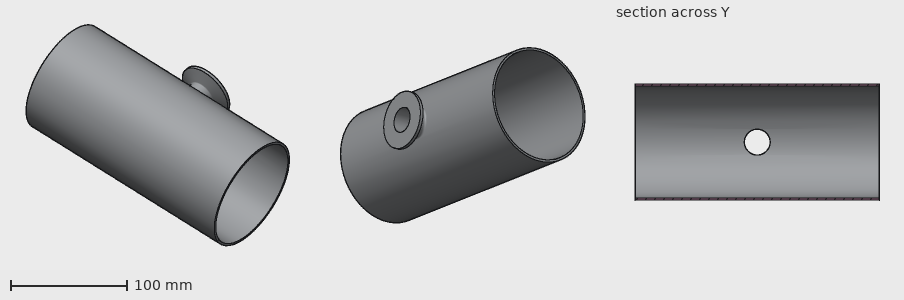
import cadquery as cq
import math

tube_length = 209.5
tube_outer_diameter = 101.6
tube_inner_diameter = 97.5

overall_depth = 117.5
flange_diameter = 50.5
flange_rim_thickness = 3.0
flange_back_angle = 20.0
neck_outer_diameter = 25.4
neck_bore_diameter = 22.0
flange_root_fillet = 1.0
weld_fillet = 1.6

tube_radius = tube_outer_diameter / 2
flange_radius = flange_diameter / 2
neck_radius = neck_outer_diameter / 2
ferrule_face_y = overall_depth - tube_radius
rim_back_y = ferrule_face_y - flange_rim_thickness
cone_depth = (flange_radius - neck_radius) * math.tan(math.radians(flange_back_angle))
cone_root_y = rim_back_y - cone_depth


def tube_cylinder(diameter):
    """Solid cylinder along X with the full tube length."""
    return cq.Workplane("YZ").circle(diameter / 2).extrude(tube_length / 2, both=True)


def ferrule_blank():
    """Solid ferrule revolved about Y, starting on the tube axis."""
    flange_root = cq.selectors.BoxSelector(
        (-neck_radius, cone_root_y - flange_root_fillet, -neck_radius),
        (neck_radius, cone_root_y + flange_root_fillet, neck_radius),
    )
    return (
        cq.Workplane("XY")
        .lineTo(neck_radius, 0)
        .lineTo(neck_radius, cone_root_y)
        .lineTo(flange_radius, rim_back_y)
        .lineTo(flange_radius, ferrule_face_y)
        .lineTo(0, ferrule_face_y)
        .close()
        .revolve(360, (0, 0, 0), (0, 1, 0))
        .edges(flange_root)
        .fillet(flange_root_fillet)
    )


def neck_bore():
    """Round bore from the tube axis out through the ferrule face."""
    return (
        cq.Workplane("XZ")
        .circle(neck_bore_diameter / 2)
        .extrude(-ferrule_face_y)
    )


body = tube_cylinder(tube_outer_diameter).union(ferrule_blank())
weld_seam_region = cq.selectors.BoxSelector(
    (-neck_radius, 0, -neck_radius),
    (neck_radius, tube_radius, neck_radius),
)
body = body.edges(weld_seam_region).fillet(weld_fillet)

result = body.cut(tube_cylinder(tube_inner_diameter)).cut(neck_bore())